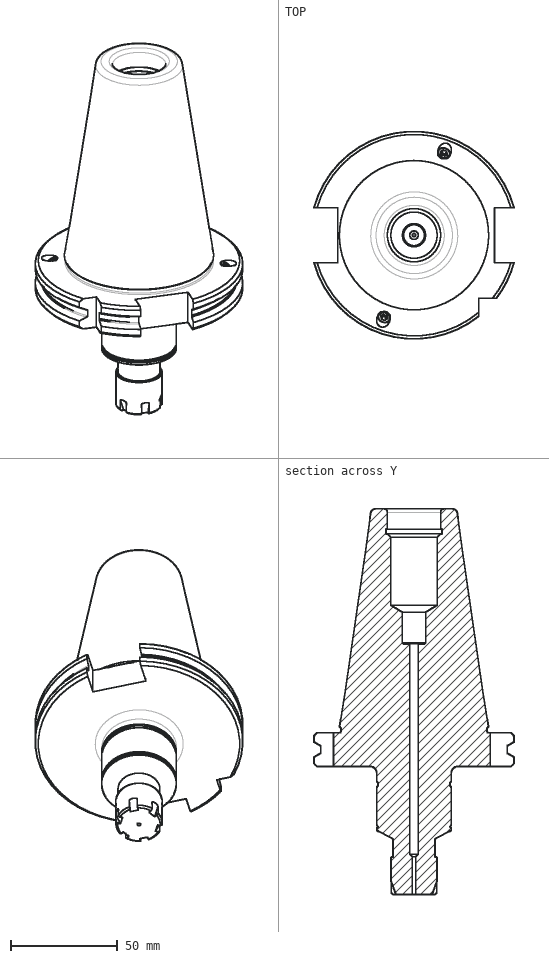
import cadquery as cq
import math

TOTAL_HEIGHT = 180.8
FLANGE_BOTTOM = 60.0
FLANGE_THICKNESS = 16.0
FLANGE_TOP = FLANGE_BOTTOM + FLANGE_THICKNESS

TAPER_LENGTH = 102.2
TAPER_LARGE_DIAMETER = 70.0
TAPER_LARGE_RADIUS = TAPER_LARGE_DIAMETER / 2
TAPER_BOTTOM = TOTAL_HEIGHT - TAPER_LENGTH
TAPER_RATE = 7 / 24
TAPER_SMALL_RADIUS = TAPER_LARGE_RADIUS - TAPER_LENGTH * TAPER_RATE / 2
TAPER_TIP_FILLET = 2.5
RELIEF_RADIUS = 34.4
RELIEF_ROOT_FILLET = 0.5

FLANGE_RADIUS = 48.6
FLANGE_CHAMFER = 1.5
GROOVE_FLOOR_RADIUS = 45.5
GROOVE_FLOOR_WIDTH = 3.5
GROOVE_CENTRE = 68.0
GROOVE_FLANK_ANGLE = 30
GROOVE_FLOOR_FILLET = 0.7
DRIVE_SLOT_WIDTH = 25.7
LEFT_SLOT_FLOOR = 35.8
RIGHT_SLOT_FLOOR = 37.8
NOTCH_X = 30.4
NOTCH_Y = 29.7

BODY_RADIUS = 17.5
BODY_ROOT_FILLET = 3.0
BODY_BOTTOM = 30.0
BODY_GROOVE_DEPTH = 0.5
UPPER_GROOVE_TOP = 53.0
UPPER_GROOVE_BOTTOM = 50.5
LOWER_GROOVE_TOP = 32.5
LOWER_GROOVE_BOTTOM = 31.1
NECK_DIAMETER = 19.7
NECK_RADIUS = NECK_DIAMETER / 2
NECK_TOP = 26.0

NUT_RADIUS = 10.9
NUT_TOP = 17.7
NUT_TOP_CHAMFER = 0.4
NUT_BOTTOM_CHAMFER = 0.9
NUT_SLOT_COUNT = 6
NUT_SLOT_WIDTH = 3.8
NUT_SLOT_CORNER = 1.0
NUT_SLOT_HEIGHT = 6.5
NUT_SLOT_DEPTH = 2.4

BORE_RADIUS = 12.5
BORE_MOUTH_FILLET = 1.6
BORE_DEPTH = 11.8
UNDERCUT_RADIUS = 13.0
UNDERCUT_TOP_DEPTH = 9.5
THREAD_RADIUS = 10.9
THREAD_DEPTH = 45.2
DRILL_POINT_ANGLE = 118
PILOT_RADIUS = 5.5
PILOT_STEP_RADIUS = 4.9
PILOT_DEPTH = 63.3
COOLANT_RADIUS = 2.0
COOLANT_TIP_RADIUS = 0.7

SCREW_CIRCLE_RADIUS = 42.0
SCREW_ANGLES = (70, 250)
SCREW_TILT = 35
SCREW_RADIUS = 3.0
SCREW_LENGTH = 6.0
SCREW_RECESS = 1.6
SCREW_CHAMFER = 0.4
SOCKET_SIDES = 6
SOCKET_ACROSS_FLATS = 2.9
SOCKET_DEPTH = 2.7

ARC_MID_OFFSET = 1 - math.sqrt(0.5)


def is_groove_corner(edge):
    """True for the two circles where the flange groove's flanks meet its floor."""
    return math.isclose(edge.radius(), GROOVE_FLOOR_RADIUS, abs_tol=0.0002)


def outer_body():
    """Turned outside shape of the whole holder."""
    flank_height = (FLANGE_RADIUS - GROOVE_FLOOR_RADIUS) * math.tan(math.radians(GROOVE_FLANK_ANGLE))
    floor_top = GROOVE_CENTRE + GROOVE_FLOOR_WIDTH / 2
    floor_bottom = GROOVE_CENTRE - GROOVE_FLOOR_WIDTH / 2
    groove_radius = BODY_RADIUS - BODY_GROOVE_DEPTH
    relief_depth = TAPER_LARGE_RADIUS - RELIEF_RADIUS
    fillet_mid = BODY_ROOT_FILLET * ARC_MID_OFFSET
    relief_fillet_mid = RELIEF_ROOT_FILLET * ARC_MID_OFFSET
    profile = (
        cq.Workplane("YZ")
        .moveTo(0, 0)
        .lineTo(NUT_RADIUS - NUT_BOTTOM_CHAMFER, 0)
        .lineTo(NUT_RADIUS, NUT_BOTTOM_CHAMFER)
        .lineTo(NUT_RADIUS, NUT_TOP - NUT_TOP_CHAMFER)
        .lineTo(NUT_RADIUS - NUT_TOP_CHAMFER, NUT_TOP)
        .lineTo(NECK_RADIUS, NUT_TOP)
        .lineTo(NECK_RADIUS, NECK_TOP)
        .lineTo(BODY_RADIUS, BODY_BOTTOM)
        .lineTo(BODY_RADIUS, LOWER_GROOVE_BOTTOM)
        .lineTo(groove_radius, LOWER_GROOVE_BOTTOM + BODY_GROOVE_DEPTH)
        .lineTo(groove_radius, LOWER_GROOVE_TOP - BODY_GROOVE_DEPTH)
        .lineTo(BODY_RADIUS, LOWER_GROOVE_TOP)
        .lineTo(BODY_RADIUS, UPPER_GROOVE_BOTTOM)
        .lineTo(groove_radius, UPPER_GROOVE_BOTTOM + BODY_GROOVE_DEPTH)
        .lineTo(groove_radius, UPPER_GROOVE_TOP - BODY_GROOVE_DEPTH)
        .lineTo(BODY_RADIUS, UPPER_GROOVE_TOP)
        .lineTo(BODY_RADIUS, FLANGE_BOTTOM - BODY_ROOT_FILLET)
        .threePointArc(
            (BODY_RADIUS + fillet_mid, FLANGE_BOTTOM - fillet_mid),
            (BODY_RADIUS + BODY_ROOT_FILLET, FLANGE_BOTTOM),
        )
        .lineTo(FLANGE_RADIUS - FLANGE_CHAMFER, FLANGE_BOTTOM)
        .lineTo(FLANGE_RADIUS, FLANGE_BOTTOM + FLANGE_CHAMFER)
        .lineTo(FLANGE_RADIUS, floor_bottom - flank_height)
        .lineTo(GROOVE_FLOOR_RADIUS, floor_bottom)
        .lineTo(GROOVE_FLOOR_RADIUS, floor_top)
        .lineTo(FLANGE_RADIUS, floor_top + flank_height)
        .lineTo(FLANGE_RADIUS, FLANGE_TOP - FLANGE_CHAMFER)
        .lineTo(FLANGE_RADIUS - FLANGE_CHAMFER, FLANGE_TOP)
        .lineTo(RELIEF_RADIUS + RELIEF_ROOT_FILLET, FLANGE_TOP)
        .threePointArc(
            (RELIEF_RADIUS + relief_fillet_mid, FLANGE_TOP + relief_fillet_mid),
            (RELIEF_RADIUS, FLANGE_TOP + RELIEF_ROOT_FILLET),
        )
        .lineTo(RELIEF_RADIUS, TAPER_BOTTOM - relief_depth)
        .lineTo(TAPER_LARGE_RADIUS, TAPER_BOTTOM)
        .lineTo(TAPER_SMALL_RADIUS, TOTAL_HEIGHT)
        .lineTo(0, TOTAL_HEIGHT)
        .close()
    )
    body = profile.revolve(360, (0, 0, 0), (0, 1, 0))
    body = body.faces(">Z").edges().fillet(TAPER_TIP_FILLET)
    groove_corners = body.edges("%CIRCLE").filter(is_groove_corner)
    return groove_corners.fillet(GROOVE_FLOOR_FILLET)


def stepped_bore():
    """Turned cavity from the taper tip down to the coolant outlet."""
    undercut_top = TOTAL_HEIGHT - UNDERCUT_TOP_DEPTH
    bore_bottom = TOTAL_HEIGHT - BORE_DEPTH
    thread_bottom = TOTAL_HEIGHT - THREAD_DEPTH
    point_slope = 1 / math.tan(math.radians(DRILL_POINT_ANGLE / 2))
    point_bottom = thread_bottom - (THREAD_RADIUS - PILOT_RADIUS) * point_slope
    pilot_bottom = TOTAL_HEIGHT - PILOT_DEPTH
    pilot_chamfer = PILOT_RADIUS - PILOT_STEP_RADIUS
    coolant_step = COOLANT_RADIUS - COOLANT_TIP_RADIUS
    fillet_mid = BORE_MOUTH_FILLET * ARC_MID_OFFSET
    profile = (
        cq.Workplane("YZ")
        .moveTo(0, 0)
        .lineTo(COOLANT_TIP_RADIUS, 0)
        .lineTo(COOLANT_TIP_RADIUS, NUT_TOP)
        .lineTo(COOLANT_RADIUS, NUT_TOP + coolant_step)
        .lineTo(COOLANT_RADIUS, pilot_bottom)
        .lineTo(PILOT_STEP_RADIUS, pilot_bottom)
        .lineTo(PILOT_RADIUS, pilot_bottom + pilot_chamfer)
        .lineTo(PILOT_RADIUS, point_bottom)
        .lineTo(THREAD_RADIUS, thread_bottom)
        .lineTo(THREAD_RADIUS, bore_bottom - (BORE_RADIUS - THREAD_RADIUS))
        .lineTo(BORE_RADIUS, bore_bottom)
        .lineTo(UNDERCUT_RADIUS, bore_bottom)
        .lineTo(UNDERCUT_RADIUS, undercut_top)
        .lineTo(BORE_RADIUS, undercut_top)
        .lineTo(BORE_RADIUS, TOTAL_HEIGHT - BORE_MOUTH_FILLET)
        .threePointArc(
            (BORE_RADIUS + fillet_mid, TOTAL_HEIGHT - fillet_mid),
            (BORE_RADIUS + BORE_MOUTH_FILLET, TOTAL_HEIGHT),
        )
        .lineTo(0, TOTAL_HEIGHT)
        .close()
    )
    return profile.revolve(360, (0, 0, 0), (0, 1, 0))


def flange_block(x_start, x_end, y_start, y_end):
    """Box spanning the full flange thickness."""
    return (
        cq.Workplane("XY", origin=(0, 0, FLANGE_BOTTOM))
        .moveTo((x_start + x_end) / 2, (y_start + y_end) / 2)
        .rect(abs(x_end - x_start), abs(y_end - y_start))
        .extrude(FLANGE_THICKNESS)
    )


def flange_cutouts():
    """Two drive slots and the orientation notch."""
    half_slot = DRIVE_SLOT_WIDTH / 2
    left_slot = flange_block(-FLANGE_RADIUS, -LEFT_SLOT_FLOOR, -half_slot, half_slot)
    right_slot = flange_block(RIGHT_SLOT_FLOOR, FLANGE_RADIUS, -half_slot, half_slot)
    notch = flange_block(NOTCH_X, FLANGE_RADIUS, -FLANGE_RADIUS, -NOTCH_Y)
    return left_slot.union(right_slot).union(notch)


def nut_slots():
    """Spanner slots around the collet nut, each with a sloped floor that runs out up the side."""
    wedge = (
        cq.Workplane("XZ")
        .moveTo(NUT_RADIUS - NUT_SLOT_DEPTH, 0)
        .lineTo(NUT_RADIUS, 0)
        .lineTo(NUT_RADIUS, NUT_SLOT_HEIGHT)
        .close()
        .extrude(NUT_SLOT_WIDTH / 2, both=True)
    )
    rounded_block = (
        cq.Workplane("YZ")
        .center(0, NUT_SLOT_HEIGHT / 2)
        .rect(NUT_SLOT_WIDTH, NUT_SLOT_HEIGHT)
        .extrude(NUT_RADIUS)
        .edges("|X and >Z")
        .fillet(NUT_SLOT_CORNER)
    )
    slot = wedge.intersect(rounded_block)
    slots = cq.Workplane("XY")
    for index in range(NUT_SLOT_COUNT):
        slots = slots.add(slot.rotate((0, 0, 0), (0, 0, 1), index * 360 / NUT_SLOT_COUNT))
    return slots.combine()


def screw_plane(angle):
    """Plane at a coolant hole's mouth, with its normal leaning outward from the spindle axis."""
    turn = math.radians(angle)
    tilt = math.radians(SCREW_TILT)
    return cq.Plane(
        origin=(SCREW_CIRCLE_RADIUS * math.cos(turn), SCREW_CIRCLE_RADIUS * math.sin(turn), FLANGE_TOP),
        xDir=(-math.sin(turn), math.cos(turn), 0),
        normal=(math.sin(tilt) * math.cos(turn), math.sin(tilt) * math.sin(turn), math.cos(tilt)),
    )


def screw_hole(angle):
    """Blind coolant hole, extended above the flange so that its mouth is fully open."""
    hole_depth = SCREW_RECESS + SCREW_LENGTH
    clearance = 2 * SCREW_RADIUS
    return (
        cq.Workplane(screw_plane(angle))
        .workplane(offset=-hole_depth)
        .circle(SCREW_RADIUS)
        .extrude(hole_depth + clearance)
    )


def make_set_screw(angle):
    """Hexagon socket set screw seated at the bottom of a coolant hole."""
    blank = (
        cq.Workplane(screw_plane(angle))
        .workplane(offset=-SCREW_RECESS)
        .circle(SCREW_RADIUS)
        .extrude(-SCREW_LENGTH)
        .edges()
        .chamfer(SCREW_CHAMFER)
    )
    socket_diameter = SOCKET_ACROSS_FLATS / math.cos(math.pi / SOCKET_SIDES)
    socket = (
        cq.Workplane(screw_plane(angle))
        .workplane(offset=-SCREW_RECESS)
        .polygon(SOCKET_SIDES, socket_diameter)
        .extrude(-SOCKET_DEPTH)
    )
    return blank.cut(socket)


def make_holder():
    """Taper, flange, body and nut end as one solid."""
    body = outer_body().cut(stepped_bore()).cut(flange_cutouts()).cut(nut_slots())
    for angle in SCREW_ANGLES:
        body = body.cut(screw_hole(angle))
    return body


holder = make_holder()
set_screws = [make_set_screw(angle) for angle in SCREW_ANGLES]

result = cq.Compound.makeCompound([holder.val(), *[screw.val() for screw in set_screws]])